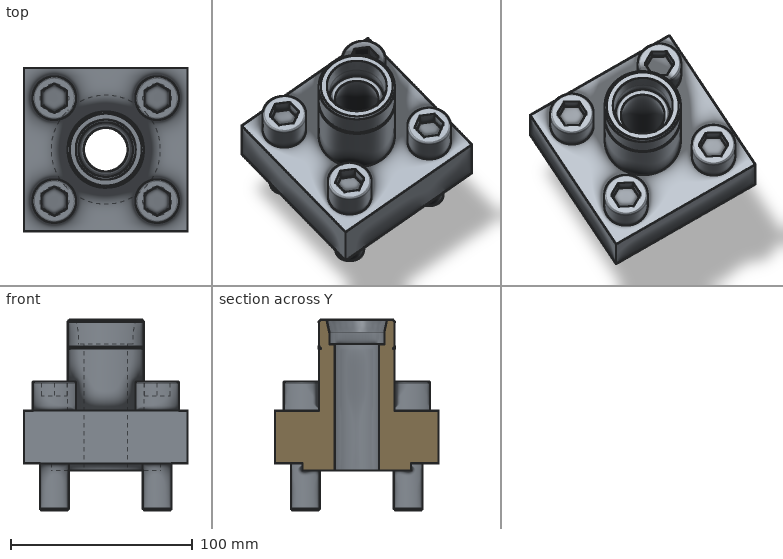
import cadquery as cq
import math

plate_side = 90.0
plate_thickness = 29.0

screw_circle_diameter = 80.0
screw_pitch = screw_circle_diameter / math.sqrt(2)
shank_diameter = 16.0
shank_length = 55.0
tip_chamfer = 1.2
head_diameter = 24.0
head_height = 16.0
head_fillet = 1.0
socket_across_flats = 14.0
socket_depth = 8.0
socket_sides = 6

plate_top = shank_length
plate_bottom = plate_top - plate_thickness
spigot_diameter = 60.0
spigot_height = 4.0
spigot_bottom = plate_bottom - spigot_height

connector_diameter = 42.0
connector_top = 105.0
connector_chamfer = 1.2
collar_height = 16.0
groove_depth = 1.2

through_bore_diameter = 24.0
socket_bore_diameter = 30.0
mouth_diameter = 33.0
mouth_half_angle = 12.0
mouth_depth = (mouth_diameter - socket_bore_diameter) / 2 / math.tan(math.radians(mouth_half_angle))
socket_bore_depth = 13.5


def cylinder(diameter, bottom, top):
    """Vertical cylinder on the Z axis between two heights."""
    return cq.Workplane("XY").workplane(offset=bottom).circle(diameter / 2).extrude(top - bottom)


def make_flange():
    """Square plate with the round spigot below it."""
    plate = (
        cq.Workplane("XY")
        .workplane(offset=plate_bottom)
        .rect(plate_side, plate_side)
        .extrude(plate_thickness)
    )
    return plate.union(cylinder(spigot_diameter, spigot_bottom, plate_bottom))


def make_connector():
    """Round connector with a chamfered end and an undercut below its collar."""
    collar_bottom = connector_top - collar_height
    stem = cylinder(connector_diameter, plate_top, collar_bottom)
    collar = (
        cylinder(connector_diameter, collar_bottom, connector_top)
        .faces(">Z")
        .chamfer(connector_chamfer)
        .faces("<Z")
        .chamfer(groove_depth)
    )
    return stem.union(collar)


def make_bore():
    """Cutting body: tapered mouth, tube socket and through bore."""
    through_radius = through_bore_diameter / 2
    socket_radius = socket_bore_diameter / 2
    socket_floor = connector_top - socket_bore_depth
    return (
        cq.Workplane("XZ")
        .moveTo(0, spigot_bottom)
        .lineTo(through_radius, spigot_bottom)
        .lineTo(through_radius, socket_floor)
        .lineTo(socket_radius, socket_floor)
        .lineTo(socket_radius, connector_top - mouth_depth)
        .lineTo(mouth_diameter / 2, connector_top)
        .lineTo(0, connector_top)
        .close()
        .revolve(360, (0, 0), (0, 1))
    )


def make_screw():
    """Socket-head screw on the Z axis; two socket corners lie along Y."""
    shank = cylinder(shank_diameter, 0, shank_length).faces("<Z").chamfer(tip_chamfer)
    head_top = shank_length + head_height
    head = cylinder(head_diameter, shank_length, head_top).faces(">Z").fillet(head_fillet)
    half_side_angle = 180 / socket_sides
    across_corners = socket_across_flats / math.cos(math.radians(half_side_angle))
    socket = (
        cq.Workplane("XY")
        .workplane(offset=head_top - socket_depth)
        .polygon(socket_sides, across_corners)
        .extrude(socket_depth)
        .rotate((0, 0, 0), (0, 0, 1), half_side_angle)
    )
    return shank.union(head).cut(socket)


result = make_flange().union(make_connector()).cut(make_bore())
screw = make_screw()
for x_side in (-1, 1):
    for y_side in (-1, 1):
        screw_position = (x_side * screw_pitch / 2, y_side * screw_pitch / 2, 0)
        result = result.union(screw.translate(screw_position))